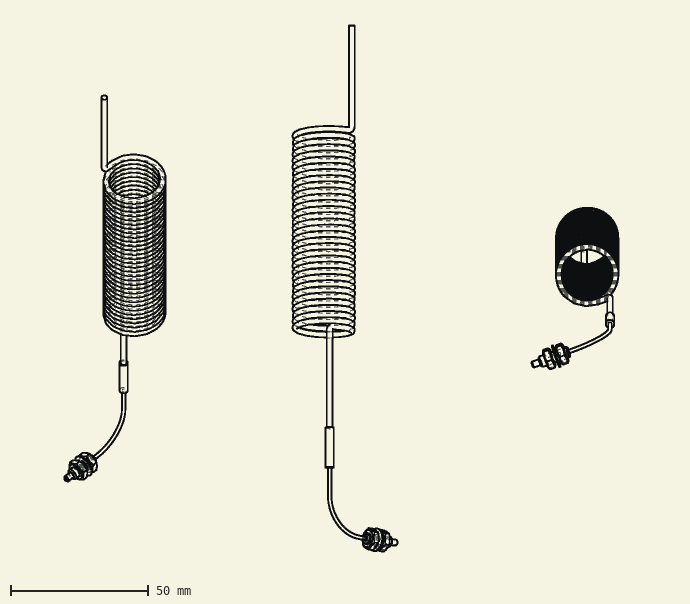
import cadquery as cq
import math


overall_height = 192.9

cable_diameter = 2.1
coil_outer_diameter = 22.8
coil_turns = 32
coil_height = 73.1
coil_bottom = 76.8
lead_length = 5.0
bend_radius = 1.5

sleeve_diameter = 3.0
sleeve_bottom = 24.3
sleeve_length = 14.7

tube_diameter = 1.4
tube_bend_radius = 13.9

body_diameter = 4.0
body_rear = -15.8
body_length = 11.4
body_chamfer = 0.5
tip_diameter = 2.3
tip_length = 2.9
tip_chamfer = 0.4

nut_across_flats = 7.0
nut_sides = 6
nut_thickness = 2.7
nut_rears = (-17.2, -22.2)
nut_chamfer_angle = 30
nut_face_diameter = 6.2
washer_diameter = 8.3
washer_thickness = 0.4
washer_rear = -20.6

sleeve_top = sleeve_bottom + sleeve_length
cable_top = overall_height - washer_diameter / 2
coil_radius = (coil_outer_diameter - cable_diameter) / 2
coil_top = coil_bottom + coil_height
coil_pitch = coil_height / coil_turns
coil_slope = math.atan2(coil_pitch, 2 * math.pi * coil_radius)
body_front = body_rear - body_length
nut_across_corners = nut_across_flats / math.cos(math.pi / nut_sides)


def cable_end(coil_end_z, straight_end_z):
    """Edges from the end of the coil, along its tangent and round a bend to a straight along Z.

    The lower end is laid out from the coil towards +Y and -Z, and the upper one towards -Y and +Z.
    """
    side = 1 if straight_end_z > coil_end_z else -1

    def point(along, up):
        return cq.Vector(0, -lead_length - side * along, coil_end_z + side * up)

    turn = math.pi / 2 - coil_slope
    bend_run = bend_radius * math.tan(turn / 2)
    corner_up = lead_length * math.tan(coil_slope)
    bend_start = point(
        lead_length - bend_run * math.cos(coil_slope),
        corner_up - bend_run * math.sin(coil_slope),
    )
    bend_end = point(lead_length, corner_up + bend_run)
    lead_direction = cq.Vector(0, -side * math.cos(coil_slope), side * math.sin(coil_slope))
    straight_end = cq.Vector(bend_end.x, bend_end.y, straight_end_z)
    return [
        cq.Edge.makeLine(point(0, 0), bend_start),
        cq.Edge.makeTangentArc(bend_start, lead_direction, bend_end),
        cq.Edge.makeLine(bend_end, straight_end),
    ]


def make_cable():
    """Round cable: a straight, a helical coil and a second straight, swept as one."""
    helix = cq.Wire.makeHelix(coil_pitch, coil_height, coil_radius)
    helix = helix.rotate(cq.Vector(0, 0, 0), cq.Vector(0, 0, 1), 180)
    helix = helix.translate(cq.Vector(coil_radius, -lead_length, coil_bottom))
    edges = cable_end(coil_bottom, sleeve_top) + helix.Edges() + cable_end(coil_top, cable_top)
    path = cq.Wire.combine(edges)[0]
    return cq.Workplane("XY", origin=(0, 0, sleeve_top)).circle(cable_diameter / 2).sweep(path)


def make_sleeve():
    return cq.Workplane("XY", origin=(0, 0, sleeve_bottom)).circle(sleeve_diameter / 2).extrude(sleeve_length)


def make_tube():
    """Thin tube from the sleeve down and round a quarter bend to the connector body."""
    bend_middle = tube_bend_radius * (1 - math.sqrt(0.5))
    path = (
        cq.Workplane("YZ")
        .moveTo(0, sleeve_bottom)
        .lineTo(0, tube_bend_radius)
        .threePointArc((-bend_middle, bend_middle), (-tube_bend_radius, 0))
        .lineTo(body_rear, 0)
    )
    return cq.Workplane("XY", origin=(0, 0, sleeve_bottom)).circle(tube_diameter / 2).sweep(path)


def connector_plane(y):
    """Plane across the connector axis, facing the tip (-Y)."""
    return cq.Workplane("XZ", origin=(0, y, 0))


def make_body():
    body = connector_plane(body_rear).circle(body_diameter / 2).extrude(body_length)
    return body.faces("<Y or >Y").chamfer(body_chamfer)


def make_tip():
    tip = connector_plane(body_front).circle(tip_diameter / 2).extrude(tip_length)
    return tip.faces("<Y").chamfer(tip_chamfer)


def make_nut(rear):
    """Hexagon nut with corners up and down, chamfered on both faces."""
    corner_radius = nut_across_corners / 2
    face_radius = nut_face_diameter / 2
    chamfer_depth = (corner_radius - face_radius) * math.tan(math.radians(nut_chamfer_angle))
    hexagon = (
        connector_plane(rear)
        .transformed(rotate=(0, 0, 90))
        .polygon(nut_sides, nut_across_corners)
        .circle(body_diameter / 2)
        .extrude(nut_thickness)
    )
    front = rear - nut_thickness
    turned_blank = (
        cq.Workplane("XY")
        .moveTo(0, rear)
        .lineTo(face_radius, rear)
        .lineTo(corner_radius, rear - chamfer_depth)
        .lineTo(corner_radius, front + chamfer_depth)
        .lineTo(face_radius, front)
        .lineTo(0, front)
        .close()
        .revolve(360, (0, 0, 0), (0, 1, 0))
    )
    return hexagon.intersect(turned_blank)


def make_washer():
    return (
        connector_plane(washer_rear)
        .circle(washer_diameter / 2)
        .circle(body_diameter / 2)
        .extrude(washer_thickness)
    )


cable = make_cable()
sleeve = make_sleeve()
tube = make_tube()
body = make_body()
tip = make_tip()
nuts = [make_nut(rear) for rear in nut_rears]
washer = make_washer()

result = cq.Compound.makeCompound(
    [
        cable.val(),
        sleeve.val(),
        tube.val(),
        body.val(),
        tip.val(),
        *[nut.val() for nut in nuts],
        washer.val(),
    ]
)